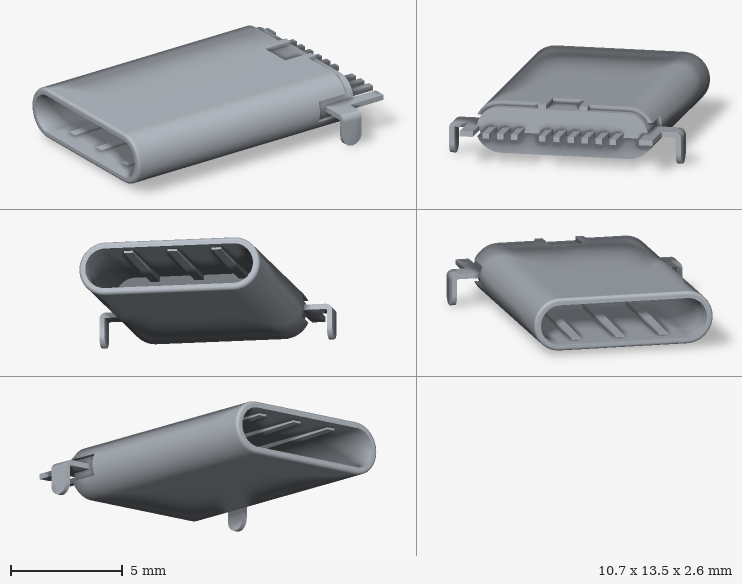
import cadquery as cq

SHELL_WIDTH = 8.26
SHELL_HEIGHT = 2.4
SHELL_LENGTH = 11.5
SHELL_WALL = 0.2
MOUTH_FILLET = 0.15

NOTCH_FRONT_Y = 10.0
NOTCH_HEIGHT = 1.0
SLOT_FRONT_Y = 10.5
SLOT_WIDTH = 1.54
PRONG_SPAN = 2.27
PRONG_END_Y = 11.91

CORE_WIDTH = SHELL_WIDTH - 2 * SHELL_WALL
CORE_HEIGHT = SHELL_HEIGHT - 2 * SHELL_WALL
CORE_REAR_Y = 12.0
LINER_WALL = 0.1
CAVITY_WIDTH = CORE_WIDTH - 2 * LINER_WALL
CAVITY_HEIGHT = CORE_HEIGHT - 2 * LINER_WALL
CAVITY_DEPTH = 6.75

SPRING_XS = (-2.01, 0.0, 2.01)
SPRING_WIDTH = 0.42
SPRING_FRONT_Y = 0.73
SPRING_FRONT_HEIGHT = 0.1
SPRING_REAR_HEIGHT = 0.23

METAL_THICKNESS = 0.24
METAL_TOP_Z = METAL_THICKNESS / 2
METAL_BOTTOM_Z = -METAL_THICKNESS / 2

PIN_POSITIONS = 10
EMPTY_POSITION = 6
PIN_PITCH = 0.65
FIRST_PIN_X = -2.66
PIN_WIDTH = 0.3
PIN_END_Y = 13.5

LEG_OUTER_X = 10.65 / 2
LEG_INNER_X = 3.82
LEG_BOTTOM_Z = -1.4
LEG_BEND_RADIUS = 0.3
ARM_FRONT_Y = 10.44
ARM_REAR_Y = 11.45
FOOT_CORNER_RADIUS = 0.5
TAIL_WIDTH = 0.61
TAIL_END_Y = 13.3


def block(x_range, y_range, z_range):
    """Axis-aligned box between the given limits."""
    sizes = [high - low for low, high in (x_range, y_range, z_range)]
    corner = (x_range[0], y_range[0], z_range[0])
    return cq.Workplane("XY").box(*sizes, centered=False).translate(corner)


def flat_oval(width, height, end_y):
    """Solid with a round-ended cross-section, from Y = 0 back to end_y."""
    return cq.Workplane("XZ").slot2D(width, height).extrude(-end_y)


def make_shell():
    """Thin tube with a rounded mouth, side notches, a top slot and two prongs."""
    outer = flat_oval(SHELL_WIDTH, SHELL_HEIGHT, SHELL_LENGTH).faces("<Y").edges().fillet(MOUTH_FILLET)
    bore = flat_oval(CORE_WIDTH, CORE_HEIGHT, SHELL_LENGTH)

    prong_bar = block(
        (-PRONG_SPAN / 2, PRONG_SPAN / 2),
        (SLOT_FRONT_Y, PRONG_END_Y),
        (CORE_HEIGHT / 2, SHELL_HEIGHT / 2),
    )
    slot = block(
        (-SLOT_WIDTH / 2, SLOT_WIDTH / 2),
        (SLOT_FRONT_Y, PRONG_END_Y),
        (0, SHELL_HEIGHT / 2),
    )
    notches = block(
        (-SHELL_WIDTH / 2, SHELL_WIDTH / 2),
        (NOTCH_FRONT_Y, SHELL_LENGTH),
        (-NOTCH_HEIGHT / 2, NOTCH_HEIGHT / 2),
    )
    return outer.cut(bore).union(prong_bar).cut(slot).cut(notches)


def make_spring(x):
    """Contact spring on the cavity floor at x, ramping up toward the rear wall."""
    floor_z = -CAVITY_HEIGHT / 2
    root_z = floor_z - LINER_WALL / 2
    profile = (
        cq.Workplane("YZ")
        .moveTo(SPRING_FRONT_Y, root_z)
        .lineTo(SPRING_FRONT_Y, floor_z + SPRING_FRONT_HEIGHT)
        .lineTo(CAVITY_DEPTH, floor_z + SPRING_REAR_HEIGHT)
        .lineTo(CAVITY_DEPTH, root_z)
        .close()
    )
    return profile.extrude(SPRING_WIDTH / 2, both=True).translate((x, 0, 0))


def make_leg():
    """Right-hand mounting leg; the left-hand one is its mirror image."""
    strip = (
        cq.Workplane("XZ")
        .moveTo(LEG_INNER_X, METAL_TOP_Z)
        .lineTo(LEG_OUTER_X, METAL_TOP_Z)
        .lineTo(LEG_OUTER_X, LEG_BOTTOM_Z)
        .lineTo(LEG_OUTER_X - METAL_THICKNESS, LEG_BOTTOM_Z)
        .lineTo(LEG_OUTER_X - METAL_THICKNESS, METAL_BOTTOM_Z)
        .lineTo(LEG_INNER_X, METAL_BOTTOM_Z)
        .close()
        .extrude(ARM_FRONT_Y - ARM_REAR_Y)
        .translate((0, ARM_FRONT_Y, 0))
    )
    inner_bend_edge = cq.selectors.NearestToPointSelector(
        (LEG_OUTER_X - METAL_THICKNESS, (ARM_FRONT_Y + ARM_REAR_Y) / 2, METAL_BOTTOM_Z)
    )
    arm = (
        strip.edges("|Y and >X and >Z").fillet(LEG_BEND_RADIUS)
        .edges(inner_bend_edge).fillet(LEG_BEND_RADIUS - METAL_THICKNESS)
        .faces("<Z").edges("|X").fillet(FOOT_CORNER_RADIUS)
    )
    tail = block(
        (LEG_INNER_X, LEG_INNER_X + TAIL_WIDTH),
        (ARM_FRONT_Y, TAIL_END_Y),
        (METAL_BOTTOM_Z, METAL_TOP_Z),
    )
    return arm.union(tail)


def make_core():
    """Insulating core joined with its springs, solder pins and mounting legs."""
    core = flat_oval(CORE_WIDTH, CORE_HEIGHT, CORE_REAR_Y)
    core = core.cut(flat_oval(CAVITY_WIDTH, CAVITY_HEIGHT, CAVITY_DEPTH))
    below_ledge = block(
        (-CORE_WIDTH / 2, CORE_WIDTH / 2),
        (SHELL_LENGTH, CORE_REAR_Y),
        (-CORE_HEIGHT / 2, METAL_BOTTOM_Z),
    )
    core = core.cut(below_ledge)

    for x in SPRING_XS:
        floor_spring = make_spring(x)
        core = core.union(floor_spring).union(floor_spring.mirror("XY"))

    for position in range(PIN_POSITIONS):
        if position == EMPTY_POSITION:
            continue
        x = FIRST_PIN_X + position * PIN_PITCH
        pin = block(
            (x - PIN_WIDTH / 2, x + PIN_WIDTH / 2),
            (SHELL_LENGTH, PIN_END_Y),
            (METAL_BOTTOM_Z, METAL_TOP_Z),
        )
        core = core.union(pin)

    leg = make_leg()
    return core.union(leg).union(leg.mirror("YZ"))


shell = make_shell()
core = make_core()
result = cq.Compound.makeCompound([shell.val(), core.val()])